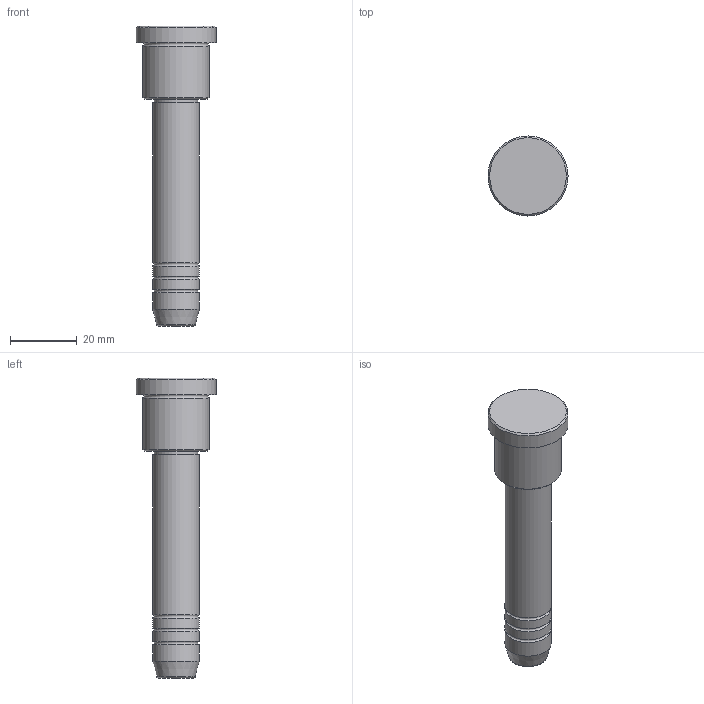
import cadquery as cq
import math

total_length = 90.0

head_radius = 12.0
head_thickness = 5.0
edge_chamfer = 0.5

collar_radius = 10.0
collar_bottom_depth = 22.0

neck_depth = 0.5
neck_width = 1.0

shank_radius = 7.0

groove_width = 1.0
groove_depth = 0.5
groove_pitch = 4.0
groove_count = 3

tip_length = 5.0
tip_half_angle = 15.0
tip_end_round = 0.5
lowest_groove_gap = 5.0

head_bottom = total_length - head_thickness
collar_bottom = total_length - collar_bottom_depth
lowest_groove_bottom = tip_length + lowest_groove_gap
taper_slope = math.tan(math.radians(tip_half_angle))
tip_end_radius = shank_radius - tip_length * taper_slope


def add_groove(profile, surface_radius, bottom):
    """Extend the profile up to a groove and through its round bottom."""
    return profile.lineTo(surface_radius, bottom).threePointArc(
        (surface_radius - groove_depth, bottom + groove_width / 2),
        (surface_radius, bottom + groove_width),
    )


def add_tip(profile):
    """Flat end and taper up to the shank."""
    return profile.lineTo(tip_end_radius, 0).lineTo(shank_radius, tip_length)


def add_shank(profile):
    """Grooved shank ending in the square relief neck below the collar."""
    for index in range(groove_count):
        profile = add_groove(profile, shank_radius, lowest_groove_bottom + index * groove_pitch)
    neck_radius = shank_radius - neck_depth
    neck_bottom = collar_bottom - neck_width
    return (
        profile.lineTo(shank_radius, neck_bottom)
        .lineTo(neck_radius, neck_bottom)
        .lineTo(neck_radius, collar_bottom)
    )


def add_collar(profile):
    """Collar with a chamfered lower edge and a groove right under the head."""
    profile = profile.lineTo(collar_radius - edge_chamfer, collar_bottom)
    profile = profile.lineTo(collar_radius, collar_bottom + edge_chamfer)
    return add_groove(profile, collar_radius, head_bottom - groove_width)


def add_head(profile):
    """Head with a chamfered upper edge, back to the axis."""
    return (
        profile.lineTo(head_radius, head_bottom)
        .lineTo(head_radius, total_length - edge_chamfer)
        .lineTo(head_radius - edge_chamfer, total_length)
        .lineTo(0, total_length)
    )


half_profile = cq.Workplane("XZ").moveTo(0, 0)
half_profile = add_tip(half_profile)
half_profile = add_shank(half_profile)
half_profile = add_collar(half_profile)
half_profile = add_head(half_profile)

pin = half_profile.close().revolve(360, (0, 0, 0), (0, 1, 0))
result = pin.faces("<Z").edges().fillet(tip_end_round)